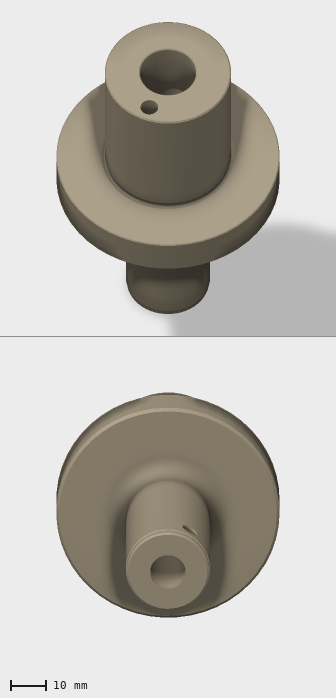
import cadquery as cq
import math

total_height = 100.5
plug_height = 2.1
collar_length = 40.0
flange_thickness = 12.0
flange_top = total_height - collar_length
flange_bottom = flange_top - flange_thickness

collar_radius = 36.0 / 2
flange_radius = 63.5 / 2
shank_radius = 24.0 / 2

small_chamfer = 0.3
plug_radius = shank_radius - small_chamfer
collar_top_chamfer = 0.4
flange_lower_chamfer = 0.8
shank_fillet_radius = 5.0
plug_chamfer = 0.5

undercut_height = 1.5
undercut_depth = 0.3
undercut_taper_height = 1.1
undercut_outer_radius = 19.0
undercut_run_out = 0.7
undercut_corner_radius = 0.5

drill_point_angle = 120.0

socket_radius = 16.0 / 2
socket_depth = 50.2
passage_radius = 10.0 / 2
socket_chamfer = 0.3

face_hole_radius = 5.0 / 2
face_hole_offset = 13.6
face_hole_depth = 10.0

collar_screw_radius = 11.8 / 2
collar_screw_z = 76.3
shank_screw_radius = 5.0 / 2
shank_screw_z = 6.7


def cone_height(radius_change):
    """Axial length of a drill cone over the given change of radius."""
    return radius_change / math.tan(math.radians(drill_point_angle / 2))


def arc_offset(radius):
    """Distance from either tangent edge to the middle of a quarter-round arc."""
    return radius * (1 - math.sqrt(0.5))


def revolve_about_z(profile):
    """Turn a closed (radius, z) outline drawn on XZ about the Z axis."""
    return profile.close().revolve(360, (0, 0, 0), (0, 1, 0))


def make_outside():
    """Solid turned shape: shank, flange, undercut and collar."""
    undercut_radius = collar_radius - undercut_depth
    undercut_floor = flange_top - undercut_depth
    undercut_top = flange_top + undercut_height
    fillet_offset = arc_offset(shank_fillet_radius)
    corner_offset = arc_offset(undercut_corner_radius)
    profile = (
        cq.Workplane("XZ")
        .moveTo(0, plug_height)
        .lineTo(shank_radius - small_chamfer, plug_height)
        .lineTo(shank_radius, plug_height + small_chamfer)
        .lineTo(shank_radius, flange_bottom - shank_fillet_radius)
        .threePointArc(
            (shank_radius + fillet_offset, flange_bottom - fillet_offset),
            (shank_radius + shank_fillet_radius, flange_bottom),
        )
        .lineTo(flange_radius - flange_lower_chamfer, flange_bottom)
        .lineTo(flange_radius, flange_bottom + flange_lower_chamfer)
        .lineTo(flange_radius, flange_top - small_chamfer)
        .lineTo(flange_radius - small_chamfer, flange_top)
        .lineTo(undercut_outer_radius, flange_top)
        .lineTo(undercut_outer_radius - undercut_run_out, undercut_floor)
        .lineTo(undercut_radius + undercut_corner_radius, undercut_floor)
        .threePointArc(
            (undercut_radius + corner_offset, undercut_floor + corner_offset),
            (undercut_radius, undercut_floor + undercut_corner_radius),
        )
        .lineTo(undercut_radius, undercut_top - undercut_taper_height)
        .lineTo(collar_radius, undercut_top)
        .lineTo(collar_radius, total_height - collar_top_chamfer)
        .lineTo(collar_radius - collar_top_chamfer, total_height)
        .lineTo(0, total_height)
    )
    return revolve_about_z(profile)


def make_bore():
    """Cutter for the socket, its conical step and the passage below."""
    cone_top = total_height - socket_depth
    cone_bottom = cone_top - cone_height(socket_radius - passage_radius)
    profile = (
        cq.Workplane("XZ")
        .lineTo(passage_radius, 0)
        .lineTo(passage_radius, cone_bottom)
        .lineTo(socket_radius, cone_top)
        .lineTo(socket_radius, total_height - socket_chamfer)
        .lineTo(socket_radius + socket_chamfer, total_height)
        .lineTo(0, total_height)
    )
    return revolve_about_z(profile)


def make_face_hole():
    """Cutter for the blind hole with a drill point in the collar's top face."""
    hole_bottom = total_height - face_hole_depth
    drill_tip = hole_bottom - cone_height(face_hole_radius)
    profile = (
        cq.Workplane("XZ")
        .moveTo(0, drill_tip)
        .lineTo(face_hole_radius, hole_bottom)
        .lineTo(face_hole_radius, total_height)
        .lineTo(0, total_height)
    )
    return revolve_about_z(profile).translate((0, -face_hole_offset, 0))


def make_screw_hole(radius, z):
    """Cutter running from the axis out through the +Y side."""
    return cq.Workplane("XZ", origin=(0, 0, z)).circle(radius).extrude(-flange_radius)


def make_holder():
    """Flanged holder with its bore, blind face hole and two screw holes."""
    holder = make_outside().cut(make_bore()).cut(make_face_hole())
    for radius, z in ((collar_screw_radius, collar_screw_z), (shank_screw_radius, shank_screw_z)):
        holder = holder.cut(make_screw_hole(radius, z))
    return holder


def make_end_plug():
    """Ring closing the lower end of the shank around the passage."""
    ring = cq.Workplane("XY").circle(plug_radius).extrude(plug_height)
    return ring.faces("<Z").chamfer(plug_chamfer).cut(make_bore())


holder = make_holder()
end_plug = make_end_plug()

result = cq.Compound.makeCompound([holder.val(), end_plug.val()])